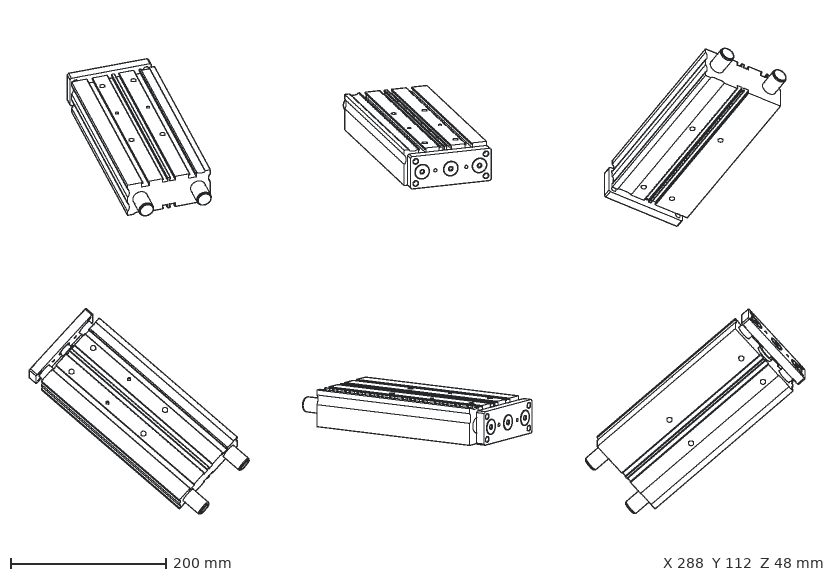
import cadquery as cq
import math

total_length = 288.0

plate_length = 11.8
plate_width = 110.0
plate_height = 44.0
plate_chamfer = 2.0
corner_hole_diameter = 6.5
corner_hole_chamfer = 0.5
countersink_angle = 90.0
corner_hole_spacing_y = 95.5
corner_hole_spacing_z = 30.0
dowel_hole_diameter = 4.0
dowel_hole_spacing = 42.0

housing_start = 22.0
housing_length = 238.0
housing_width = 112.0
housing_height = 48.0
housing_end = housing_start + housing_length

dish_floor = 2.3
wide_dish_floor = 9.8
dish_arc_width = 4.0
dish_depth = 2.3
dish_chamfer = 1.2
side_dish_z = 11.2
top_dish_y = 43.8
bottom_dish_y = -38.0

t_slot_width = 7.0
t_slot_depth = 7.0
t_slot_undercut = 1.7
t_slot_y = 31.7
rib_slot_width = 5.5
rib_slot_depth = 5.5
rib_slot_undercut = 1.0
rib_slot_y = 5.0
top_slot_chamfer = 0.43
bottom_slot_chamfer = 1.0
slot_lip_depth = 1.7

hole_row_spacing = 42.0
through_hole_diameter = 6.5
through_hole_x = 42.5
through_hole_pitch = 123.8
locating_hole_diameter = 4.0
locating_hole_depth = 5.8
locating_hole_x = through_hole_x + through_hole_pitch / 2

guide_rod_diameter = 20.0
guide_rod_spacing = 78.0
guide_rod_positions = [-guide_rod_spacing / 2, guide_rod_spacing / 2]
lead_in_length = 2.3
lead_in_inset = 0.5
end_chamfer = 1.0
piston_rod_diameter = 16.0
piston_head_diameter = guide_rod_diameter
piston_rod_end = 230.5
front_chamfer = 0.5
tapped_hole_diameter = 4.5
tapped_hole_depth = 8.5
tapped_hole_chamfer = 1.0
drill_tip_angle = 118.0

collar_diameter = 23.3
collar_length = 3.5


def x_cylinder(diameter, start, end, y=0.0, z=0.0):
    """Cylinder along X between two X positions."""
    return cq.Workplane("YZ", origin=(start, y, z)).circle(diameter / 2).extrude(end - start)


def turned(points, y=0.0):
    """Solid turned about an X axis at the given Y from (x, radius) points."""
    return cq.Workplane("XZ", origin=(0, y, 0)).polyline(points).close().revolve(360, (0, 0), (1, 0))


def tapped_hole_outline():
    """Half section of a countersunk hole from X = 0 with a conical drill tip."""
    radius = tapped_hole_diameter / 2
    tip_length = radius / math.tan(math.radians(drill_tip_angle / 2))
    return [
        (0, 0),
        (0, radius + tapped_hole_chamfer),
        (tapped_hole_chamfer, radius),
        (tapped_hole_depth, radius),
        (tapped_hole_depth + tip_length, 0),
    ]


def placed_groove(outline, turn, offset, face_distance):
    """Groove along the whole housing, from an outline with its mouth at local Z = 0.

    The outline is drawn for the top face. The offset is along the face before the turn about X,
    which is positive from +Y towards +Z.
    """
    groove = outline.extrude(housing_length)
    return groove.translate((0, offset, face_distance)).rotate((0, 0, 0), (1, 0, 0), turn)


def dish_groove(floor, turn, offset, face_distance, far_chamfer=dish_chamfer):
    """Dish-shaped groove; a far chamfer of zero leaves a straight wall on its positive side."""
    arc_inner = floor / 2
    arc_outer = arc_inner + dish_arc_width
    rise = dish_depth - dish_chamfer
    radius = (dish_arc_width**2 + rise**2) / (2 * rise)
    half_sweep = math.asin(dish_arc_width / radius) / 2
    arc_middle = arc_inner + radius * math.sin(half_sweep)
    middle_height = -dish_depth + radius * (1 - math.cos(half_sweep))
    outline = (
        cq.Workplane("YZ", origin=(housing_start, 0, 0))
        .moveTo(-arc_outer - dish_chamfer, 0)
        .lineTo(-arc_outer, -dish_chamfer)
        .threePointArc((-arc_middle, middle_height), (-arc_inner, -dish_depth))
        .lineTo(arc_inner, -dish_depth)
        .threePointArc((arc_middle, middle_height), (arc_outer, -dish_chamfer))
        .lineTo(arc_outer + far_chamfer, 0)
        .close()
    )
    return placed_groove(outline, turn, offset, face_distance)


def undercut_slot(width, depth, undercut, chamfer, turn, offset):
    """Slot with chamfered lips that is wider below them."""
    lip = width / 2
    wall = lip + undercut
    half_outline = [
        (lip + chamfer, 0),
        (lip, -chamfer),
        (lip, -slot_lip_depth),
        (wall, -slot_lip_depth),
        (wall, -depth),
    ]
    mirrored_half = [(-y, z) for y, z in reversed(half_outline)]
    outline = cq.Workplane("YZ", origin=(housing_start, 0, 0)).polyline(half_outline + mirrored_half).close()
    return placed_groove(outline, turn, offset, housing_height / 2)


def make_guide_rod(y):
    radius = guide_rod_diameter / 2
    rod = turned(
        [
            (0, 0),
            (0, radius - front_chamfer),
            (front_chamfer, radius),
            (total_length - lead_in_length, radius),
            (total_length - end_chamfer, radius - lead_in_inset),
            (total_length, radius - lead_in_inset - end_chamfer),
            (total_length, 0),
        ],
        y,
    )
    return rod.cut(turned(tapped_hole_outline(), y))


def make_piston_rod():
    """Piston rod with a wider head that fills the thickness of the end plate."""
    head_radius = piston_head_diameter / 2
    rod_radius = piston_rod_diameter / 2
    rod = turned(
        [
            (0, 0),
            (0, head_radius - front_chamfer),
            (front_chamfer, head_radius),
            (plate_length, head_radius),
            (plate_length, rod_radius),
            (piston_rod_end, rod_radius),
            (piston_rod_end, 0),
        ]
    )
    return rod.cut(turned(tapped_hole_outline()))


def make_collar():
    start = housing_start - collar_length
    collar = x_cylinder(collar_diameter, start, housing_start)
    return collar.cut(x_cylinder(piston_rod_diameter, start, housing_start))


def make_plate():
    plate = cq.Workplane("XY").box(plate_length, plate_width, plate_height, centered=(False, True, True))
    plate = plate.edges("|X").chamfer(plate_chamfer)
    for y in guide_rod_positions + [0]:
        plate = plate.cut(x_cylinder(guide_rod_diameter, 0, plate_length, y))
    for y in (-dowel_hole_spacing / 2, dowel_hole_spacing / 2):
        plate = plate.cut(x_cylinder(dowel_hole_diameter, 0, plate_length, y))
    countersink_diameter = corner_hole_diameter + 2 * corner_hole_chamfer
    return (
        plate.faces("<X")
        .workplane(origin=(0, 0, 0))
        .rarray(corner_hole_spacing_y, corner_hole_spacing_z, 2, 2)
        .cskHole(corner_hole_diameter, countersink_diameter, countersink_angle)
    )


def make_housing():
    housing = cq.Workplane("XY", origin=(housing_start, 0, 0)).box(
        housing_length, housing_width, housing_height, centered=(False, True, True)
    )
    half_width = housing_width / 2
    half_height = housing_height / 2

    grooves = [
        dish_groove(dish_floor, 90, side_dish_z, half_width),
        dish_groove(dish_floor, 90, -side_dish_z, half_width),
        dish_groove(dish_floor, -90, -side_dish_z, half_width),
        dish_groove(dish_floor, 0, top_dish_y, half_height, far_chamfer=0),
        dish_groove(wide_dish_floor, 180, -bottom_dish_y, half_height),
    ]
    rib_slot = (rib_slot_width, rib_slot_depth, rib_slot_undercut)
    for side in (-1, 1):
        grooves += [
            undercut_slot(t_slot_width, t_slot_depth, t_slot_undercut, top_slot_chamfer, 0, side * t_slot_y),
            undercut_slot(*rib_slot, top_slot_chamfer, 0, side * rib_slot_y),
            undercut_slot(*rib_slot, bottom_slot_chamfer, 180, side * rib_slot_y),
        ]
    for groove in grooves:
        housing = housing.cut(groove)

    for y in guide_rod_positions:
        housing = housing.cut(x_cylinder(guide_rod_diameter, housing_start, housing_end, y))
    housing = housing.cut(x_cylinder(piston_rod_diameter, housing_start, piston_rod_end))

    top = cq.Workplane("XY", origin=(locating_hole_x, 0, half_height))
    through_holes = (
        top.rarray(through_hole_pitch, hole_row_spacing, 2, 2)
        .circle(through_hole_diameter / 2)
        .extrude(-housing_height)
    )
    locating_holes = (
        top.rarray(3, hole_row_spacing, 1, 2).circle(locating_hole_diameter / 2).extrude(-locating_hole_depth)
    )
    return housing.cut(through_holes).cut(locating_holes)


plate = make_plate()
housing = make_housing()
guide_rods = [make_guide_rod(y) for y in guide_rod_positions]
piston_rod = make_piston_rod()
collar = make_collar()

result = cq.Compound.makeCompound(
    [plate.val(), housing.val(), piston_rod.val(), collar.val(), *[rod.val() for rod in guide_rods]]
)